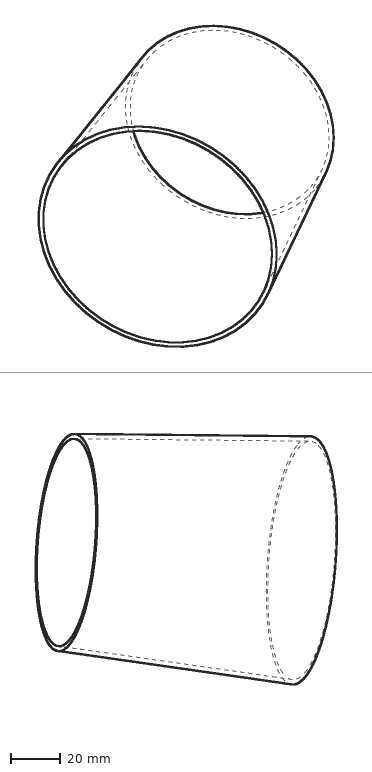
import cadquery as cq

large_diameter = 101.6
small_diameter = 88.9
wall = 2.0
length = 100.0

large_radius = large_diameter / 2
small_radius = small_diameter / 2

wall_section = (
    cq.Workplane("XY")
    .moveTo(large_radius - wall, -length / 2)
    .lineTo(large_radius, -length / 2)
    .lineTo(small_radius, length / 2)
    .lineTo(small_radius - wall, length / 2)
    .close()
)

result = wall_section.revolve(360, (0, 0, 0), (0, 1, 0))